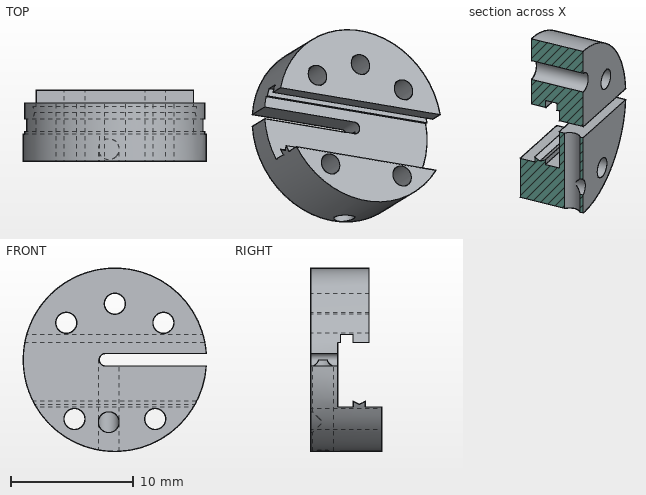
import cadquery as cq

radius = 7.5
upper_depth = 4.78
lower_depth = 5.82
overcut = 1.0

channel_floor_y = 2.22
channel_top_z = 1.41
channel_bottom_z = -3.84

groove_front_y = 2.45
groove_width = 1.0
groove_depth = 0.65

rail_front_y = 3.48
rail_width = 1.0
rail_height = 0.45
rail_valley_height = 0.2

slot_width = 1.0
slot_end_x = -1.27

hole_diameter = 1.7
top_hole_z = 4.58
upper_hole_x = 3.97
upper_hole_z = 3.02
lower_hole_x = 3.3
lower_hole_z = -4.84
through_holes = [
    (0, top_hole_z),
    (-upper_hole_x, upper_hole_z),
    (upper_hole_x, upper_hole_z),
    (-lower_hole_x, lower_hole_z),
    (lower_hole_x, lower_hole_z),
]

inlet_x = -0.5
inlet_z = -5.1
vertical_hole_y = 1.0


def y_cylinder(x, z, diameter, depth):
    """Cylinder along +Y starting on the front plane."""
    return cq.Workplane("XZ").center(x, z).circle(diameter / 2).extrude(-depth)


def full_width_prism(profile):
    """Prism of a (y, z) profile, spanning the disc along X."""
    half_span = radius + overcut
    return cq.Workplane("YZ").polyline(profile).close().extrude(half_span, both=True)


def full_width_bar(y_min, y_max, z_min, z_max):
    """Rectangular bar spanning the disc along X."""
    return full_width_prism([(y_min, z_min), (y_max, z_min), (y_max, z_max), (y_min, z_max)])


def stepped_disc():
    """Disc with the channel and its groove cut, and the upper part shortened."""
    back = lower_depth + overcut
    channel = full_width_bar(channel_floor_y, back, channel_bottom_z, channel_top_z)
    upper_trim = full_width_bar(upper_depth, back, channel_bottom_z, radius + overcut)
    groove = full_width_bar(
        groove_front_y, groove_front_y + groove_width, channel_bottom_z, channel_top_z + groove_depth
    )
    disc = y_cylinder(0, 0, 2 * radius, lower_depth)
    return disc.cut(channel).cut(upper_trim).cut(groove)


def rail():
    """Rail with a V-notched top, trimmed to the disc outline."""
    back_y = rail_front_y + rail_width
    root_z = channel_bottom_z - rail_height
    peak_z = channel_bottom_z + rail_height
    profile = [
        (rail_front_y, root_z),
        (rail_front_y, peak_z),
        (rail_front_y + rail_width / 2, channel_bottom_z + rail_valley_height),
        (back_y, peak_z),
        (back_y, root_z),
    ]
    return full_width_prism(profile).intersect(y_cylinder(0, 0, 2 * radius, lower_depth))


def slot():
    """Slot through the web with a rounded inner end."""
    round_x = slot_end_x + slot_width / 2
    length = radius + overcut - round_x
    straight = (
        cq.Workplane("XZ")
        .center(round_x + length / 2, 0)
        .rect(length, slot_width)
        .extrude(-lower_depth)
    )
    return straight.union(y_cylinder(round_x, 0, slot_width, lower_depth))


def inlet_passage():
    """Blind hole from the front face, ending in a vertical hole between rim and slot."""
    inlet = y_cylinder(inlet_x, inlet_z, hole_diameter, vertical_hole_y)
    vertical = (
        cq.Workplane("XY", origin=(inlet_x, vertical_hole_y, 0))
        .circle(hole_diameter / 2)
        .extrude(-(radius + overcut))
    )
    return inlet.union(vertical)


result = stepped_disc().union(rail()).cut(slot()).cut(inlet_passage())
for hole_x, hole_z in through_holes:
    result = result.cut(y_cylinder(hole_x, hole_z, hole_diameter, lower_depth))